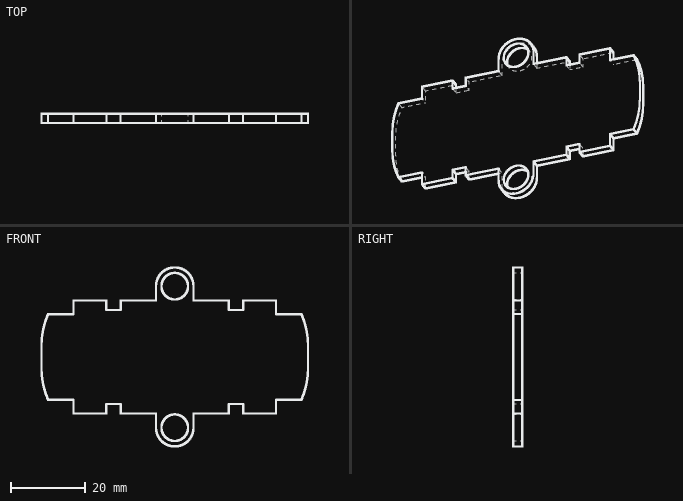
import cadquery as cq
import math

length = 71.88
thickness = 2.54
body_height = 30.48

end_height = 23.114
end_flat_height = 5.842
end_arc_radius = 21.59

shoulder_length = 54.61
notch_width = 3.81
notch_depth = 2.54
notch_offset = 16.51

ear_radius = 5.08
ear_center_height = 19.05
ear_hole_diameter = 7.112


def back_face():
    """XZ workplane on the back (+Y) face of the plate, with its normal toward -Y."""
    return cq.Workplane("XZ", origin=(0, thickness / 2, 0))


def box(width, height, x=0, z=0):
    """Full-thickness rectangular block centred at (x, z)."""
    return back_face().center(x, z).rect(width, height).extrude(thickness)


def end_arc_inset(rise):
    """Distance the end arc has moved inward at a given rise above the flat."""
    return end_arc_radius - math.sqrt(end_arc_radius**2 - rise**2)


def make_core():
    """Long low plate whose two ends bulge outward."""
    tip_x = length / 2
    flat_z = end_flat_height / 2
    corner_z = end_height / 2
    rise = corner_z - flat_z
    corner_x = tip_x - end_arc_inset(rise)
    middle_x = tip_x - end_arc_inset(rise / 2)
    middle_z = flat_z + rise / 2
    profile = (
        back_face()
        .moveTo(-corner_x, corner_z)
        .lineTo(corner_x, corner_z)
        .threePointArc((middle_x, middle_z), (tip_x, flat_z))
        .lineTo(tip_x, -flat_z)
        .threePointArc((middle_x, -middle_z), (corner_x, -corner_z))
        .lineTo(-corner_x, -corner_z)
        .threePointArc((-middle_x, -middle_z), (-tip_x, -flat_z))
        .lineTo(-tip_x, flat_z)
        .threePointArc((-middle_x, middle_z), (-corner_x, corner_z))
        .close()
    )
    return profile.extrude(thickness)


def cut_notches(plate):
    """Cut the four rectangular notches into the long edges of the body."""
    notch_z = body_height / 2 - notch_depth / 2
    for side_x in (-1, 1):
        for side_z in (-1, 1):
            notch = box(notch_width, notch_depth, side_x * notch_offset, side_z * notch_z)
            plate = plate.cut(notch)
    return plate


def add_ears(plate):
    """Add the round-ended ears, then bore a hole through each."""
    stem = box(2 * ear_radius, 2 * ear_center_height)
    plate = plate.union(stem)
    ear_centers = [(0, -ear_center_height), (0, ear_center_height)]
    discs = back_face().pushPoints(ear_centers).circle(ear_radius).extrude(thickness)
    holes = back_face().pushPoints(ear_centers).circle(ear_hole_diameter / 2).extrude(thickness)
    return plate.union(discs).cut(holes)


body = make_core().union(box(shoulder_length, body_height))
body = cut_notches(body)
result = add_ears(body)